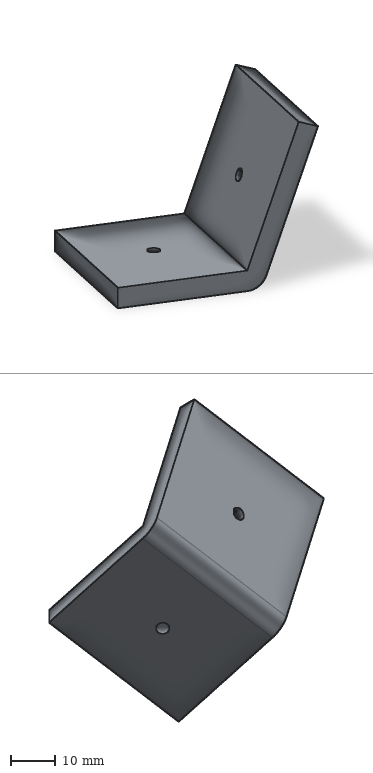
import cadquery as cq
import math

width = 40.0
thickness = 5.0
base_length = 31.35
wall_length = 36.5
lean_angle = 20.0
hole_diameter = 3.0
base_hole_distance = 15.05
wall_hole_distance = 16.5

lean = math.radians(lean_angle)
along_wall = cq.Vector(0, math.sin(lean), math.cos(lean))
wall_outward = cq.Vector(0, math.cos(lean), -math.sin(lean))
along_base = cq.Vector(0, -1, 0)
base_outward = cq.Vector(0, 0, -1)

inner_bend = cq.Vector(0, 0, thickness)


def profile_point(point):
    """Return the (Y, Z) coordinates of a point for the side profile."""
    return (point.y, point.z)


def make_bracket():
    """Extrude the two plates and the rounded outer bend, centred on X."""
    base_tip = inner_bend + along_base * base_length
    wall_tip = inner_bend + along_wall * wall_length
    bend_middle = (wall_outward + base_outward).normalized()
    return (
        cq.Workplane("YZ")
        .moveTo(*profile_point(inner_bend))
        .lineTo(*profile_point(base_tip))
        .lineTo(*profile_point(base_tip + base_outward * thickness))
        .lineTo(*profile_point(inner_bend + base_outward * thickness))
        .threePointArc(
            profile_point(inner_bend + bend_middle * thickness),
            profile_point(inner_bend + wall_outward * thickness),
        )
        .lineTo(*profile_point(wall_tip + wall_outward * thickness))
        .lineTo(*profile_point(wall_tip))
        .close()
        .extrude(width / 2, both=True)
    )


def make_hole(direction, distance, outward):
    """Return a cutter square to a plate, through its full thickness."""
    start = inner_bend + direction * distance
    return cq.Solid.makeCylinder(hole_diameter / 2, thickness, start, outward)


result = (
    make_bracket()
    .cut(make_hole(along_base, base_hole_distance, base_outward))
    .cut(make_hole(along_wall, wall_hole_distance, wall_outward))
)